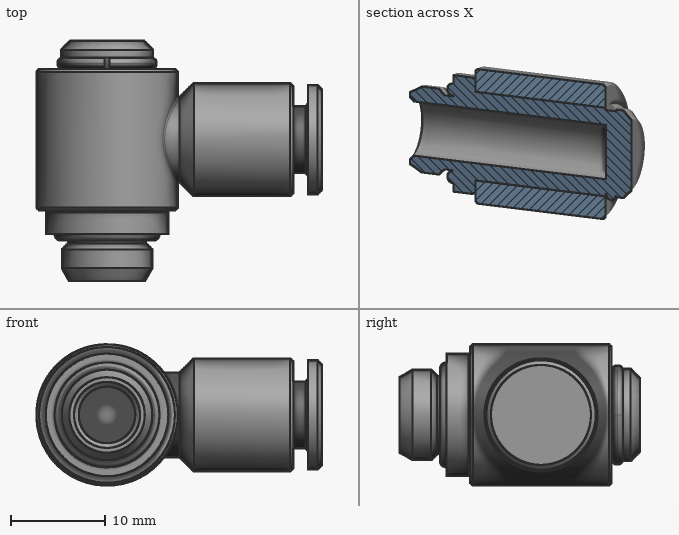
import cadquery as cq


BARREL_RADIUS = 7.5
BARREL_HALF_LENGTH = 7.5
BARREL_CHAMFER = 0.3

NECK_RADIUS = 4.5
NECK_FILLET = 0.2
SOCKET_RADIUS = 6.0
CONE_START_X = 7.7
CONE_END_X = CONE_START_X + SOCKET_RADIUS - NECK_RADIUS
SOCKET_END_X = 19.75
SOCKET_CHAMFER = 0.35
COLLAR_NECK_RADIUS = 3.55
COLLAR_RADIUS = 5.8
COLLAR_START_X = 21.3
COLLAR_END_X = 22.8
COLLAR_CHAMFER = 0.5
COLLAR_ROOT_CHAMFER = 0.25

JOURNAL_RADIUS = 4.9
STUD_TOP_Y = 10.5
STUD_TOP_CHAMFER = 1.0
GROOVE_RADIUS = 4.7
GROOVE_TOP_Y = 8.7
GROOVE_BOTTOM_Y = BARREL_HALF_LENGTH
FLANGE_RADIUS = 6.5
FLANGE_TOP_Y = -7.7
FLANGE_BOTTOM_Y = -10.0
SHOULDER_RADIUS = 6.4
RELIEF_RADIUS = 4.15
RELIEF_END_Y = -11.0
THREAD_RADIUS = 4.8
THREAD_START_Y = RELIEF_END_Y - (THREAD_RADIUS - RELIEF_RADIUS)
THREAD_END_Y = -13.6
TIP_RADIUS = 4.0
TIP_Y = -15.0

SNAP_RING_Y = (GROOVE_TOP_Y + GROOVE_BOTTOM_Y) / 2
SNAP_RING_WIRE_RADIUS = 0.57
SNAP_RING_GAP = 0.5
SEAL_WIRE_RADIUS = 0.7
SEAL_CENTRE_RADIUS = 4.86

BORE_RADIUS = 3.0
BORE_MOUTH_RADIUS = 3.5
BORE_MOUTH_DEPTH = 0.5
BORE_END_Y = BARREL_HALF_LENGTH

ORIGIN = (0, 0)


def turned_about_y(points):
    """Revolve a closed (radius, y) outline about the Y axis."""
    return cq.Workplane("XY").polyline(points).close().revolve(360, ORIGIN, (0, 1))


def turned_about_x(points):
    """Revolve a closed (x, radius) outline about the X axis."""
    return cq.Workplane("XY").polyline(points).close().revolve(360, ORIGIN, (1, 0))


def round_ring(centre_radius, wire_radius, y):
    """Ring of round section about the Y axis."""
    section = cq.Workplane("XY").center(centre_radius, y).circle(wire_radius)
    return section.revolve(360, (-centre_radius, 0), (-centre_radius, 1))


def cylinder_along_y(radius, start_y, end_y):
    return cq.Workplane("XZ", origin=(0, start_y, 0)).circle(radius).extrude(start_y - end_y)


def make_elbow():
    barrel = cylinder_along_y(BARREL_RADIUS, -BARREL_HALF_LENGTH, BARREL_HALF_LENGTH)
    neck = cq.Workplane("YZ").circle(NECK_RADIUS).extrude(CONE_END_X)
    bore = cylinder_along_y(JOURNAL_RADIUS, -BARREL_HALF_LENGTH, BARREL_HALF_LENGTH)
    box_half_length = (BARREL_HALF_LENGTH + NECK_RADIUS) / 2
    junction = cq.selectors.BoxSelector(
        (0, -box_half_length, -BARREL_RADIUS),
        (BARREL_RADIUS + NECK_FILLET, box_half_length, BARREL_RADIUS),
        boundingbox=True,
    )
    body = barrel.union(neck).edges(junction).fillet(NECK_FILLET)
    body = body.faces("<Y or >Y").edges().chamfer(BARREL_CHAMFER)
    return body.union(make_socket()).cut(bore)


def make_socket():
    """Cone, tube socket and release collar at the outer end of the branch."""
    return turned_about_x([
        (CONE_START_X, 0),
        (CONE_START_X, NECK_RADIUS),
        (CONE_END_X, SOCKET_RADIUS),
        (SOCKET_END_X - SOCKET_CHAMFER, SOCKET_RADIUS),
        (SOCKET_END_X, SOCKET_RADIUS - SOCKET_CHAMFER),
        (SOCKET_END_X, COLLAR_NECK_RADIUS),
        (COLLAR_START_X - COLLAR_ROOT_CHAMFER, COLLAR_NECK_RADIUS),
        (COLLAR_START_X, COLLAR_NECK_RADIUS + COLLAR_ROOT_CHAMFER),
        (COLLAR_START_X, COLLAR_RADIUS),
        (COLLAR_END_X - COLLAR_CHAMFER, COLLAR_RADIUS),
        (COLLAR_END_X, COLLAR_RADIUS - COLLAR_CHAMFER),
        (COLLAR_END_X, 0),
    ])


def make_stud():
    core = turned_about_y([
        (0, STUD_TOP_Y),
        (JOURNAL_RADIUS - STUD_TOP_CHAMFER, STUD_TOP_Y),
        (JOURNAL_RADIUS, STUD_TOP_Y - STUD_TOP_CHAMFER),
        (JOURNAL_RADIUS, GROOVE_TOP_Y),
        (GROOVE_RADIUS, GROOVE_TOP_Y),
        (GROOVE_RADIUS, GROOVE_BOTTOM_Y),
        (JOURNAL_RADIUS, GROOVE_BOTTOM_Y),
        (JOURNAL_RADIUS, -BARREL_HALF_LENGTH),
        (SHOULDER_RADIUS, -BARREL_HALF_LENGTH),
        (SHOULDER_RADIUS, FLANGE_TOP_Y),
        (FLANGE_RADIUS, FLANGE_TOP_Y),
        (FLANGE_RADIUS, FLANGE_BOTTOM_Y),
        (RELIEF_RADIUS, FLANGE_BOTTOM_Y),
        (RELIEF_RADIUS, RELIEF_END_Y),
        (THREAD_RADIUS, THREAD_START_Y),
        (THREAD_RADIUS, THREAD_END_Y),
        (TIP_RADIUS, TIP_Y),
        (0, TIP_Y),
    ])
    seal = round_ring(SEAL_CENTRE_RADIUS, SEAL_WIRE_RADIUS, FLANGE_BOTTOM_Y)
    return core.union(make_snap_ring()).union(seal).cut(make_bore())


def make_snap_ring():
    """Round wire ring with a gap at the +Z side."""
    ring = round_ring(GROOVE_RADIUS, SNAP_RING_WIRE_RADIUS, SNAP_RING_Y)
    wire_diameter = 2 * SNAP_RING_WIRE_RADIUS
    gap = cq.Workplane("XY").center(0, SNAP_RING_Y).rect(SNAP_RING_GAP, 2 * wire_diameter)
    return ring.cut(gap.extrude(GROOVE_RADIUS + wire_diameter))


def make_bore():
    """Blind bore with a countersunk mouth."""
    return turned_about_y([
        (0, TIP_Y),
        (BORE_MOUTH_RADIUS, TIP_Y),
        (BORE_RADIUS, TIP_Y + BORE_MOUTH_DEPTH),
        (BORE_RADIUS, BORE_END_Y),
        (0, BORE_END_Y),
    ])


elbow = make_elbow()
stud = make_stud()

result = cq.Compound.makeCompound([elbow.solids().val(), stud.solids().val()])